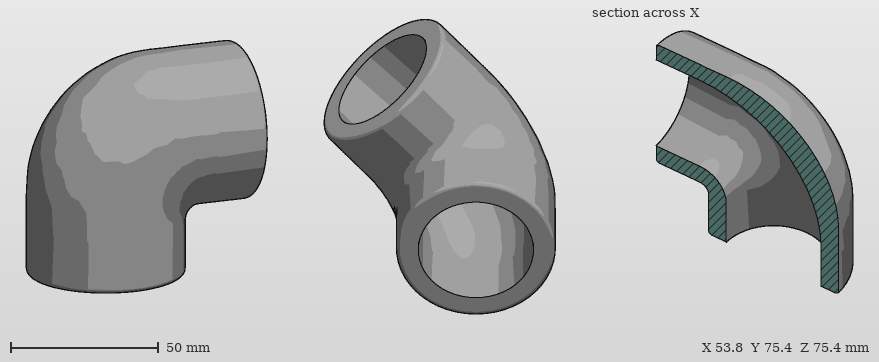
import cadquery as cq
import math

overall_length = 75.4
outer_diameter = 53.8
bore_diameter = 39.0
collar_length = 18.0
outer_bend_radius = 45.55
rim_fillet = 1.5
bend_steps = 8

outer_radius = outer_diameter / 2
bore_radius = bore_diameter / 2
port_length = overall_length - outer_radius
collar_start = port_length - collar_length
inner_bend_radius = collar_start - outer_radius

heel_distance = collar_start + outer_radius
arc_center_offset = heel_distance - outer_bend_radius


def heel_reach(angle):
    """Distance from the pivot to the outer outline, which is straight, arc, straight."""
    along = arc_center_offset * (math.cos(angle) + math.sin(angle))
    across = arc_center_offset * (math.cos(angle) - math.sin(angle))
    arc_reach = along + math.sqrt(outer_bend_radius**2 - across**2)
    straight_reach = heel_distance / max(math.cos(angle), math.sin(angle))
    tangent_angle = math.atan2(arc_center_offset, heel_distance)
    if min(angle, math.pi / 2 - angle) < tangent_angle:
        return straight_reach
    return arc_reach


def bend_section(angle):
    """Elliptical section of constant width, reaching from inner bend to heel."""
    reach = heel_reach(angle)
    center_distance = (inner_bend_radius + reach) / 2
    half_height = (reach - inner_bend_radius) / 2
    direction = cq.Vector(0, -math.cos(angle), math.sin(angle))
    pivot = cq.Vector(0, collar_start, -collar_start)
    plane = cq.Plane(
        origin=pivot + direction * center_distance,
        xDir=direction,
        normal=(0, math.sin(angle), math.cos(angle)),
    )
    return cq.Workplane(plane).ellipse(half_height, outer_radius).wires().val()


def collar(plane):
    """Port collar with a rounded end rim."""
    body = cq.Workplane(plane).workplane(offset=collar_start).circle(outer_radius).extrude(collar_length)
    return body.faces(cq.selectors.DirectionMinMaxSelector(plane.zDir)).edges().fillet(rim_fillet)


down_port = cq.Plane(origin=(0, 0, 0), xDir=(1, 0, 0), normal=(0, 0, -1))
back_port = cq.Plane(origin=(0, 0, 0), xDir=(1, 0, 0), normal=(0, 1, 0))

section_angles = [step * math.pi / 2 / bend_steps for step in range(bend_steps + 1)]
bend = cq.Workplane(obj=cq.Solid.makeLoft([bend_section(angle) for angle in section_angles]))
body = bend.union(collar(down_port)).union(collar(back_port))

bore_path = (
    cq.Workplane("YZ")
    .moveTo(0, -port_length)
    .lineTo(0, -collar_start)
    .radiusArc((collar_start, 0), collar_start)
    .lineTo(port_length, 0)
)
bore = cq.Workplane(down_port).workplane(offset=port_length).circle(bore_radius).sweep(bore_path)

result = body.cut(bore)